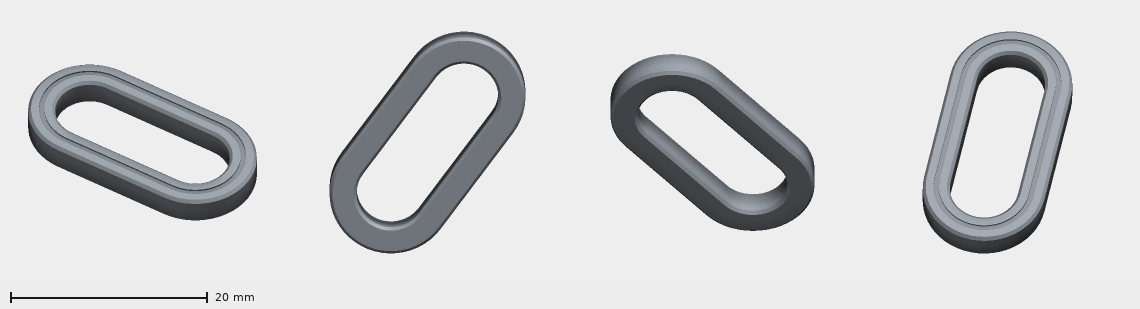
import cadquery as cq

length = 25.0
width = 12.5
height = 3.12

wall = 2.75
chamfer = 0.3

groove_width = 0.55
groove_depth = 0.2


def stadium(inset, depth, base):
    """Solid with straight sides and round ends, inset evenly from the outer outline."""
    return (
        cq.Workplane("XY", origin=(0, 0, base))
        .slot2D(length - 2 * inset, width - 2 * inset)
        .extrude(depth)
    )


def loop(outer_inset, inner_inset, depth, base):
    """Closed band between two insets from the outer outline."""
    return stadium(outer_inset, depth, base).cut(stadium(inner_inset, depth, base))


body_base = -height / 2
ring = loop(0, wall, height, body_base).faces("|Z").edges().chamfer(chamfer)

groove_inset = (wall - groove_width) / 2
groove_floor = height / 2 - groove_depth
groove = loop(groove_inset, groove_inset + groove_width, groove_depth, groove_floor)

result = ring.cut(groove)